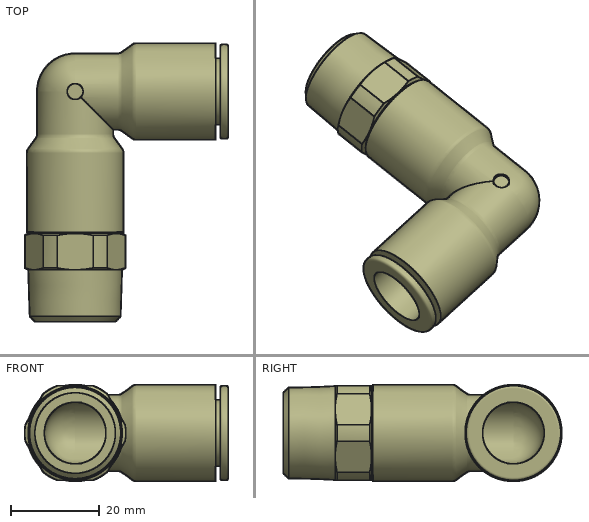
import cadquery as cq
import math


neck_radius = 8.7
bore_radius = 7.0

barrel_radius = 11.0
shoulder_start = 10.2
shoulder_end = 13.4
shoulder_blend = 1.25
barrel_end = 31.9

collar_sleeve_radius = 7.6
collar_rim_radius = 10.75
collar_rim_start = 32.9
tube_arm_length = 34.81
collar_rim_round = 0.6

swivel_neck_radius = 9.5
hex_start = 32.2
hex_end = 40.5
hex_across_flats = 21.5
hex_corner_radius = 11.5
hex_chamfer_radius = 10.7
hex_chamfer_length = 0.45

thread_arm_length = 52.3
gauge_plane = 47.25
gauge_radius = 10.48
radius_taper = 1 / 32
end_chamfer_length = 1.25
end_face_radius = 9.15

recess_radius = 1.8
recess_depth = 0.8


def revolve_along_x(outline):
    """Close an (x, radius) outline and spin it around the X axis."""
    return cq.Workplane("XY").polyline(outline).close().revolve(360, (0, 0, 0), (1, 0, 0))


def to_thread_arm(solid):
    """Turn a solid built along +X so that it lies along -Y."""
    return solid.rotate((0, 0, 0), (0, 0, 1), -90)


def circle_at(x, radius):
    """Selector for the circular edge of the given radius at distance x."""
    tolerance = 0.01
    half_size = radius + tolerance
    return cq.selectors.BoxSelector(
        (x - tolerance, -half_size, -half_size),
        (x + tolerance, half_size, half_size),
        boundingbox=True,
    )


def make_barrel():
    """Neck that flares through a blended conical shoulder into the barrel."""
    barrel = revolve_along_x([
        (0, 0),
        (0, neck_radius),
        (shoulder_start, neck_radius),
        (shoulder_end, barrel_radius),
        (barrel_end, barrel_radius),
        (barrel_end, 0),
    ])
    barrel = barrel.edges(circle_at(shoulder_start, neck_radius)).fillet(shoulder_blend)
    return barrel.edges(circle_at(shoulder_end, barrel_radius)).fillet(shoulder_blend)


def make_elbow_corner():
    """Ball that rounds the outside of the bend."""
    return cq.Workplane("XY").sphere(neck_radius)


def make_collar():
    """Release collar: a thin sleeve carrying a rounded rim."""
    sleeve = revolve_along_x([
        (barrel_end, 0),
        (barrel_end, collar_sleeve_radius),
        (tube_arm_length, collar_sleeve_radius),
        (tube_arm_length, 0),
    ])
    rim = revolve_along_x([
        (collar_rim_start, 0),
        (collar_rim_start, collar_rim_radius),
        (tube_arm_length, collar_rim_radius),
        (tube_arm_length, 0),
    ])
    rim = rim.edges("%CIRCLE").fillet(collar_rim_round)
    return sleeve.union(rim)


def make_hexagon():
    """Hexagon with flats facing +Z and -Z, turned round and chamfered at its corners."""
    across_corners = hex_across_flats / math.cos(math.pi / 6)
    prism = (
        cq.Workplane("YZ", origin=(hex_start, 0, 0))
        .polygon(6, across_corners)
        .extrude(hex_end - hex_start)
    )
    turned_blank = revolve_along_x([
        (hex_start, 0),
        (hex_start, hex_chamfer_radius),
        (hex_start + hex_chamfer_length, hex_corner_radius),
        (hex_end - hex_chamfer_length, hex_corner_radius),
        (hex_end, hex_chamfer_radius),
        (hex_end, 0),
    ])
    return prism.intersect(turned_blank)


def thread_radius(x):
    """Radius of the tapered thread at distance x from the elbow centre."""
    return gauge_radius + (gauge_plane - x) * radius_taper


def make_thread():
    """Plain tapered cone in place of the thread, with a chamfered end."""
    chamfer_start = thread_arm_length - end_chamfer_length
    return revolve_along_x([
        (hex_end, 0),
        (hex_end, thread_radius(hex_end)),
        (chamfer_start, thread_radius(chamfer_start)),
        (thread_arm_length, end_face_radius),
        (thread_arm_length, 0),
    ])


def make_swivel_neck():
    """Short neck that leaves a narrow gap between barrel and hexagon."""
    gap_width = hex_start - barrel_end
    return cq.Workplane("YZ", origin=(barrel_end, 0, 0)).circle(swivel_neck_radius).extrude(gap_width)


def make_bore(length):
    """Bore running from the elbow centre out through the end of an arm."""
    return cq.Workplane("YZ").circle(bore_radius).extrude(length)


def make_recess():
    """Shallow round pocket in the crown of the elbow."""
    floor_height = neck_radius - recess_depth
    return cq.Workplane("XY", origin=(0, 0, floor_height)).circle(recess_radius).extrude(2 * recess_depth)


tube_arm = make_barrel().union(make_collar())
thread_arm = make_barrel().union(make_swivel_neck()).union(make_hexagon()).union(make_thread())
body = tube_arm.union(to_thread_arm(thread_arm)).union(make_elbow_corner())

bore = make_bore(tube_arm_length).union(to_thread_arm(make_bore(thread_arm_length)))
bore = bore.union(cq.Workplane("XY").sphere(bore_radius))

result = body.cut(bore).cut(make_recess())